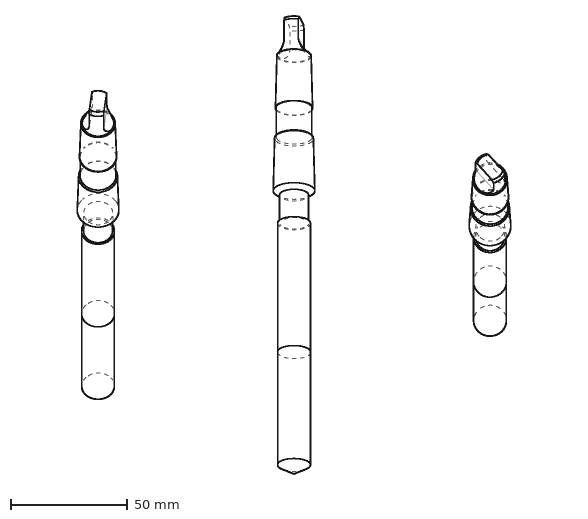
import cadquery as cq
import math

TOTAL_LENGTH = 212.0
BODY_SPLIT_Z = 57.0
BODY_TOP_Z = 117.2
NECK_TOP_Z = 130.4
TAPER_BASE_Z = 132.3
RELIEF_BASE_Z = 156.9
RELIEF_STEP_HEIGHT = 0.6
RELIEF_TOP_Z = 171.0
TAPER_TOP_Z = 195.5
FLAT_BASE_Z = 201.0

DRILL_DIAMETER = 14.2
NECK_DIAMETER = 12.5
TAPER_BASE_DIAMETER = 18.0
TAPER_RATIO = 0.05
RELIEF_DIAMETER = 15.5
TANG_DIAMETER = 13.5

POINT_ANGLE = 118.0

TANG_THICKNESS = 6.4
TANG_ANGLE = -30.0
RUNOUT_RADIUS = 6.0
TANG_CHAMFER_WIDTH = 1.0
TANG_CHAMFER_HEIGHT = 1.7
TANG_DOME_RISE = 0.5

DRILL_RADIUS = DRILL_DIAMETER / 2
NECK_RADIUS = NECK_DIAMETER / 2
RELIEF_RADIUS = RELIEF_DIAMETER / 2
TANG_RADIUS = TANG_DIAMETER / 2


def taper_radius(z):
    """Radius of the tapered shank at height z."""
    return (TAPER_BASE_DIAMETER - TAPER_RATIO * (z - TAPER_BASE_Z)) / 2


def revolve_profile(points):
    """Turn a closed (radius, z) profile about the Z axis."""
    return cq.Workplane("XZ").polyline(points).close().revolve(360, (0, 0), (0, 1))


def make_drill_tip():
    """Cylindrical drill end with a conical point."""
    point_height = DRILL_RADIUS / math.tan(math.radians(POINT_ANGLE / 2))
    return revolve_profile([
        (0, 0),
        (DRILL_RADIUS, point_height),
        (DRILL_RADIUS, BODY_SPLIT_Z),
        (0, BODY_SPLIT_Z),
    ])


def make_tang_cutter():
    """Material removed beside one tang flat, with a concave round run-out below it."""
    flat_offset = TANG_THICKNESS / 2
    runout_offset = flat_offset + RUNOUT_RADIUS
    corner = RUNOUT_RADIUS * math.sqrt(0.5)
    return (
        cq.Workplane("YZ")
        .moveTo(flat_offset, TOTAL_LENGTH)
        .lineTo(flat_offset, FLAT_BASE_Z)
        .threePointArc(
            (runout_offset - corner, FLAT_BASE_Z - corner),
            (runout_offset, FLAT_BASE_Z - RUNOUT_RADIUS),
        )
        .lineTo(runout_offset, TOTAL_LENGTH)
        .close()
        .extrude(TAPER_BASE_DIAMETER / 2, both=True)
    )


def make_tang_dome(rim_radius, rim_z):
    """Shallow spherical cap closing the top of the tang."""
    sphere_radius = (rim_radius ** 2 + TANG_DOME_RISE ** 2) / (2 * TANG_DOME_RISE)
    half_angle = math.asin(rim_radius / sphere_radius) / 2
    arc_middle = (
        sphere_radius * math.sin(half_angle),
        TOTAL_LENGTH - sphere_radius * (1 - math.cos(half_angle)),
    )
    return (
        cq.Workplane("XZ")
        .moveTo(0, rim_z)
        .lineTo(rim_radius, rim_z)
        .threePointArc(arc_middle, (0, TOTAL_LENGTH))
        .close()
        .revolve(360, (0, 0), (0, 1))
    )


def make_shank():
    """Upper drill body, neck, relieved taper and flatted tang."""
    dome_rim_radius = TANG_RADIUS - TANG_CHAMFER_WIDTH
    dome_rim_z = TOTAL_LENGTH - TANG_DOME_RISE
    shank = revolve_profile([
        (0, BODY_SPLIT_Z),
        (DRILL_RADIUS, BODY_SPLIT_Z),
        (DRILL_RADIUS, BODY_TOP_Z),
        (NECK_RADIUS, BODY_TOP_Z),
        (NECK_RADIUS, NECK_TOP_Z),
        (taper_radius(TAPER_BASE_Z), TAPER_BASE_Z),
        (taper_radius(RELIEF_BASE_Z), RELIEF_BASE_Z),
        (RELIEF_RADIUS, RELIEF_BASE_Z + RELIEF_STEP_HEIGHT),
        (RELIEF_RADIUS, RELIEF_TOP_Z),
        (taper_radius(RELIEF_TOP_Z), RELIEF_TOP_Z),
        (taper_radius(TAPER_TOP_Z), TAPER_TOP_Z),
        (TANG_RADIUS, TAPER_TOP_Z),
        (TANG_RADIUS, dome_rim_z - TANG_CHAMFER_HEIGHT),
        (dome_rim_radius, dome_rim_z),
        (0, dome_rim_z),
    ])
    shank = shank.union(make_tang_dome(dome_rim_radius, dome_rim_z))
    cutter = make_tang_cutter()
    for side_angle in (0, 180):
        shank = shank.cut(cutter.rotate((0, 0, 0), (0, 0, 1), TANG_ANGLE + side_angle))
    return shank


drill_tip = make_drill_tip()
shank = make_shank()
result = cq.Compound.makeCompound([drill_tip.val(), shank.val()])